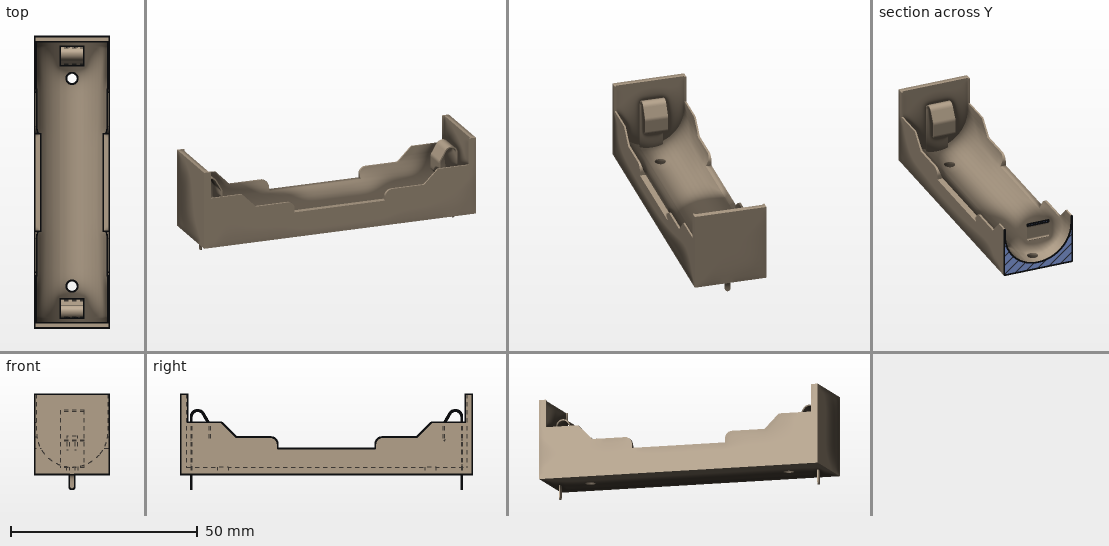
import cadquery as cq
import math

LENGTH = 78.0
WIDTH = 20.0
END_HEIGHT = 21.5
END_WALL = 1.95

HIGH_RIM = 14.05
MIDDLE_RIM = 10.1
LOW_RIM = 7.0
SLOPE_START = 10.9
SLOPE_END = SLOPE_START + HIGH_RIM - MIDDLE_RIM
LOW_RIM_START = 26.0
RIM_CORNER_RADIUS = 1.95

CAVITY_RADIUS = 9.5
FLOOR_THICKNESS = 2.0
CAVITY_AXIS_HEIGHT = FLOOR_THICKNESS + CAVITY_RADIUS
CAVITY_FROM_END = 1.5

FLOOR_HOLE_DIAMETER = 3.0
FLOOR_HOLE_FROM_END = 11.2

STRIP_THICKNESS = 0.35
STRIP_WIDTH = 6.4
PLATE_FROM_END = 2.65
PLATE_MID_Y = PLATE_FROM_END + STRIP_THICKNESS / 2 - LENGTH / 2
STRIP_TOP = 17.3
TOP_BEND_RADIUS = 1.7
LEAF_ANGLE = math.radians(60)
LEAF_LENGTH = 3.0
FLAP_BEND_RADIUS = 1.55
FLAP_LENGTH = 3.2
CURL_RADIUS = 0.6
CURL_ANGLE = math.radians(60)

PIN_WIDTH = 1.55
PIN_LENGTH = 4.0
SLOT_WIDTH = 0.6
WINDOW_WIDTH = PIN_WIDTH + 2 * SLOT_WIDTH
WINDOW_SILL = 6.6
WINDOW_HEIGHT = 3.75
TONGUE_HEIGHT = 2.7


def rim_cutter():
    """Block that trims the side walls to the stepped rim between the end walls."""
    end_y = -LENGTH / 2
    near_half = (
        cq.Workplane("YZ")
        .moveTo(end_y + END_WALL, END_HEIGHT)
        .lineTo(end_y + END_WALL, HIGH_RIM)
        .lineTo(end_y + SLOPE_START, HIGH_RIM)
        .lineTo(end_y + SLOPE_END, MIDDLE_RIM)
        .lineTo(end_y + LOW_RIM_START - RIM_CORNER_RADIUS, MIDDLE_RIM)
        .tangentArcPoint((RIM_CORNER_RADIUS, -RIM_CORNER_RADIUS))
        .lineTo(end_y + LOW_RIM_START, LOW_RIM)
        .lineTo(0, LOW_RIM)
        .lineTo(0, END_HEIGHT)
        .close()
        .extrude(WIDTH / 2, both=True)
    )
    return near_half.union(near_half.mirror("XZ"))


def cavity_cutter():
    """U-shaped trough for the cell."""
    return (
        cq.Workplane("XZ")
        .moveTo(-CAVITY_RADIUS, END_HEIGHT)
        .lineTo(-CAVITY_RADIUS, CAVITY_AXIS_HEIGHT)
        .threePointArc((0, FLOOR_THICKNESS), (CAVITY_RADIUS, CAVITY_AXIS_HEIGHT))
        .lineTo(CAVITY_RADIUS, END_HEIGHT)
        .close()
        .extrude(LENGTH / 2 - CAVITY_FROM_END, both=True)
    )


def floor_holes():
    hole_y = LENGTH / 2 - FLOOR_HOLE_FROM_END
    return (
        cq.Workplane("XY")
        .pushPoints([(0, -hole_y), (0, hole_y)])
        .circle(FLOOR_HOLE_DIAMETER / 2)
        .extrude(CAVITY_AXIS_HEIGHT)
    )


def make_housing(contacts):
    """Trough with a matching recess for each contact."""
    housing = cq.Workplane("XY").box(WIDTH, LENGTH, END_HEIGHT, centered=(True, True, False))
    housing = housing.cut(rim_cutter()).cut(cavity_cutter()).cut(floor_holes())
    for contact in contacts:
        housing = housing.cut(contact)
    return housing


def bent_strip():
    """Upright plate, bent over the top into a sloping leaf, an upright flap and a curled end."""
    cos_leaf = math.cos(LEAF_ANGLE)
    sin_leaf = math.sin(LEAF_ANGLE)
    top_bend_z = STRIP_TOP - STRIP_THICKNESS / 2 - TOP_BEND_RADIUS
    path = (
        cq.Workplane("YZ")
        .moveTo(PLATE_MID_Y, FLOOR_THICKNESS)
        .lineTo(PLATE_MID_Y, top_bend_z)
        .tangentArcPoint((TOP_BEND_RADIUS * (1 + sin_leaf), TOP_BEND_RADIUS * cos_leaf))
        .line(LEAF_LENGTH * cos_leaf, -LEAF_LENGTH * sin_leaf)
        .tangentArcPoint((FLAP_BEND_RADIUS * (1 - sin_leaf), -FLAP_BEND_RADIUS * cos_leaf))
        .line(0, -FLAP_LENGTH)
        .tangentArcPoint(
            (-CURL_RADIUS * (1 - math.cos(CURL_ANGLE)), -CURL_RADIUS * math.sin(CURL_ANGLE))
        )
    )
    return (
        cq.Workplane("XY", origin=(0, PLATE_MID_Y, FLOOR_THICKNESS))
        .rect(STRIP_WIDTH, STRIP_THICKNESS)
        .sweep(path)
    )


def plate_plane(bottom):
    """Workplane in the mid-plane of the upright plate, with its origin at height `bottom`."""
    return cq.Workplane("XZ", origin=(0, PLATE_MID_Y, bottom))


def round_ended_bar(base, tip):
    """Flat bar as wide as the pin, from height `base` to its rounded end at height `tip`."""
    half_width = PIN_WIDTH / 2
    reach = tip - base
    straight = reach - math.copysign(half_width, reach)
    return (
        plate_plane(base)
        .moveTo(-half_width, 0)
        .lineTo(-half_width, straight)
        .threePointArc((0, reach), (half_width, straight))
        .lineTo(half_width, 0)
        .close()
        .extrude(STRIP_THICKNESS / 2, both=True)
    )


def make_contact():
    """Contact at the -Y end of the housing, with its pin through the floor."""
    window = (
        plate_plane(WINDOW_SILL + WINDOW_HEIGHT / 2)
        .rect(WINDOW_WIDTH, WINDOW_HEIGHT)
        .extrude(STRIP_THICKNESS / 2, both=True)
    )
    tongue = round_ended_bar(WINDOW_SILL, WINDOW_SILL + TONGUE_HEIGHT)
    pin = round_ended_bar(FLOOR_THICKNESS, -PIN_LENGTH)
    return bent_strip().cut(window.cut(tongue)).union(pin)


near_contact = make_contact()
contacts = [near_contact, near_contact.mirror("XZ")]
housing = make_housing(contacts)

result = cq.Compound.makeCompound([housing.val(), *[contact.val() for contact in contacts]])